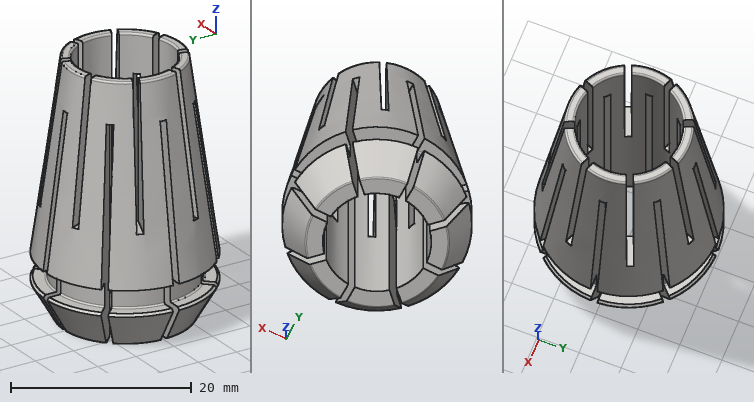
import cadquery as cq
import math

total_length = 31.5
max_radius = 10.5
bore_radius = 6.0

taper_half_angle = 8.0
taper_base_z = 7.65

groove_radius = 8.7
groove_floor_z = 4.75
groove_fillet = 0.2

nose_half_angle = 30.0
collar_chamfer = 0.3

rim_fillet = 0.25
nose_fillet = 0.2

slot_width = 0.8
slots_per_end = 8
slot_pitch = 360.0 / slots_per_end
bottom_slot_end_z = 26.55
top_slot_start_z = 14.05

taper_top_radius = max_radius - (total_length - taper_base_z) * math.tan(math.radians(taper_half_angle))
nose_top_z = groove_floor_z - collar_chamfer
nose_base_radius = max_radius - nose_top_z * math.tan(math.radians(nose_half_angle))


def make_turned_body():
    """Revolve the outer silhouette about the Z axis and round the turned edges."""
    outline = [
        (0, 0),
        (nose_base_radius, 0),
        (max_radius, nose_top_z),
        (max_radius - collar_chamfer, groove_floor_z),
        (groove_radius, groove_floor_z),
        (groove_radius, taper_base_z),
        (max_radius, taper_base_z),
        (taper_top_radius, total_length),
        (0, total_length),
    ]
    body = cq.Workplane("XZ").polyline(outline).close().revolve(360, (0, 0), (0, 1))
    body = body.faces("%CYLINDER").edges("%CIRCLE").fillet(groove_fillet)
    return body.faces("<Z").edges("%CIRCLE").fillet(nose_fillet)


def cut_bore(body):
    """Bore straight through and round both edges of the remaining top rim."""
    bored = body.cut(cq.Workplane("XY").circle(bore_radius).extrude(total_length))
    return bored.faces(">Z").edges("%CIRCLE").fillet(rim_fillet)


def make_slot_blades(first_angle, z_start, z_end):
    """Ring of radial blades, each reaching from the axis to the outer rim."""
    blade = (
        cq.Workplane("XY")
        .workplane(offset=z_start)
        .rect(max_radius, slot_width)
        .extrude(z_end - z_start)
        .translate((max_radius / 2, 0, 0))
    )
    blades = cq.Workplane("XY")
    for index in range(slots_per_end):
        angle = first_angle + index * slot_pitch
        blades = blades.add(blade.rotate((0, 0, 0), (0, 0, 1), angle))
    return blades.combine()


def make_collet():
    """Bore the body and split it with the two staggered rings of slots."""
    collet = cut_bore(make_turned_body())
    collet = collet.cut(make_slot_blades(0, 0, bottom_slot_end_z))
    return collet.cut(make_slot_blades(slot_pitch / 2, top_slot_start_z, total_length))


result = make_collet()